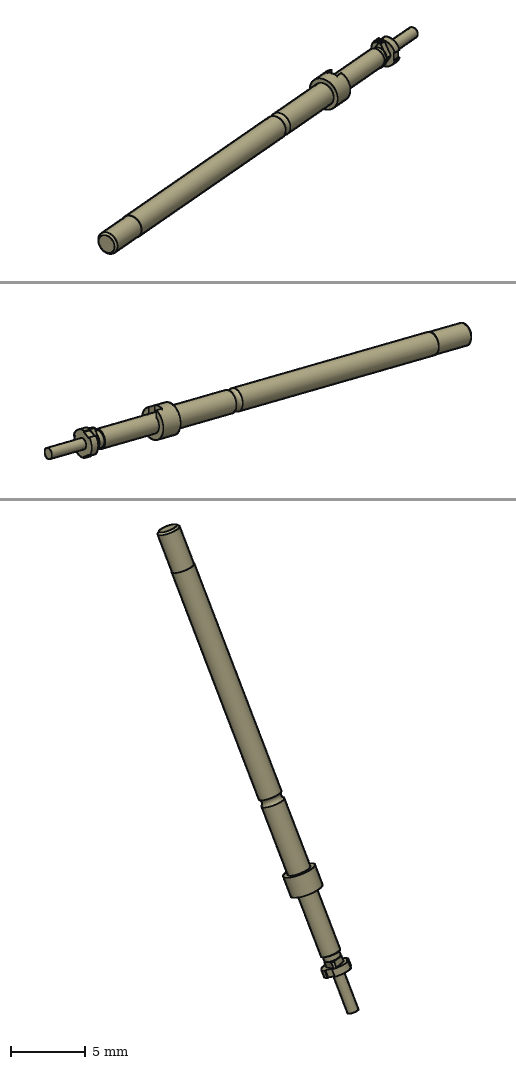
import cadquery as cq


TOTAL_LENGTH = 36.0

COLLAR_RADIUS = 1.15
COLLAR_LENGTH = 1.5
KEYWAY_WIDTH = 0.8
KEYWAY_LENGTH = 0.5

TIP_RADIUS = 0.4
TIP_LENGTH = 2.95

DISC_RADIUS = 1.0
DISC_LENGTH = 0.55
NOTCH_COUNT = 3
NOTCH_WIDTH = 0.6
NOTCH_FLOOR_DISTANCE = 0.85

BLADE_LENGTH = 0.45
BLADE_HALF_HEIGHT = 0.93
BLADE_HALF_WIDTH = 0.62
BLADE_EDGE_HALF_WIDTH = 0.1

NECK_RADIUS = 0.6
NECK_LENGTH = 0.4
SHANK_RADIUS = 0.7
SHANK_LENGTH = 4.65

BARREL_RADIUS = 0.825
TAIL_RADIUS = 0.8
TAIL_LENGTH = 2.95
TAIL_CHAMFER = 0.15
GROOVE_CENTRE = 5.35
GROOVE_WIDTH = 0.54
GROOVE_DEPTH = 0.12

collar_front = COLLAR_LENGTH
shank_front = collar_front + SHANK_LENGTH
neck_front = shank_front + NECK_LENGTH
blade_front = neck_front + BLADE_LENGTH
disc_front = blade_front + DISC_LENGTH
tip_end = disc_front + TIP_LENGTH
tail_end = tip_end - TOTAL_LENGTH
tail_front = tail_end + TAIL_LENGTH


def section_plane(y):
    """Plane across the axis at station y, drawn with local axes -X and Z, normal along +Y."""
    return cq.Plane(origin=(0, y, 0), xDir=(-1, 0, 0), normal=(0, 1, 0))


def cylinder(radius, y_start, y_end):
    return cq.Workplane(section_plane(y_start)).circle(radius).extrude(y_end - y_start)


def make_barrel():
    """Long barrel with a rolled groove and a slightly slimmer, chamfered tail."""
    groove_front = -GROOVE_CENTRE + GROOVE_WIDTH / 2
    groove_back = -GROOVE_CENTRE - GROOVE_WIDTH / 2
    groove_bottom = (BARREL_RADIUS - GROOVE_DEPTH, -GROOVE_CENTRE)
    return (
        cq.Workplane("XY")
        .moveTo(0, 0)
        .lineTo(BARREL_RADIUS, 0)
        .lineTo(BARREL_RADIUS, groove_front)
        .threePointArc(groove_bottom, (BARREL_RADIUS, groove_back))
        .lineTo(BARREL_RADIUS, tail_front)
        .lineTo(TAIL_RADIUS, tail_front)
        .lineTo(TAIL_RADIUS, tail_end + TAIL_CHAMFER)
        .lineTo(TAIL_RADIUS - TAIL_CHAMFER, tail_end)
        .lineTo(0, tail_end)
        .close()
        .revolve(360, (0, 0, 0), (0, 1, 0))
    )


def make_collar():
    """Collar with a keyway in its upper front edge, open down to the shank."""
    keyway = (
        cq.Workplane("XY")
        .box(KEYWAY_WIDTH, KEYWAY_LENGTH, COLLAR_RADIUS, centered=(True, False, False))
        .translate((0, collar_front - KEYWAY_LENGTH, 0))
    )
    return cylinder(COLLAR_RADIUS, 0, collar_front).cut(keyway)


def make_blade():
    """Diamond-shaped section with blunted upper and lower edges."""
    outline = [
        (BLADE_HALF_WIDTH, 0),
        (BLADE_EDGE_HALF_WIDTH, BLADE_HALF_HEIGHT),
        (-BLADE_EDGE_HALF_WIDTH, BLADE_HALF_HEIGHT),
        (-BLADE_HALF_WIDTH, 0),
        (-BLADE_EDGE_HALF_WIDTH, -BLADE_HALF_HEIGHT),
        (BLADE_EDGE_HALF_WIDTH, -BLADE_HALF_HEIGHT),
    ]
    return cq.Workplane(section_plane(neck_front)).polyline(outline).close().extrude(BLADE_LENGTH)


def make_disc():
    """Disc with flat-floored notches spaced evenly round its rim, the first at +X."""
    disc = cylinder(DISC_RADIUS, blade_front, disc_front)
    for index in range(NOTCH_COUNT):
        notch = (
            cq.Workplane("XY")
            .box(DISC_RADIUS, DISC_LENGTH, NOTCH_WIDTH, centered=(False, False, True))
            .translate((NOTCH_FLOOR_DISTANCE, blade_front, 0))
            .rotate((0, 0, 0), (0, 1, 0), index * 360 / NOTCH_COUNT)
        )
        disc = disc.cut(notch)
    return disc


result = (
    make_barrel()
    .union(make_collar())
    .union(cylinder(SHANK_RADIUS, 0, shank_front))
    .union(cylinder(NECK_RADIUS, shank_front, neck_front))
    .union(make_blade())
    .union(make_disc())
    .union(cylinder(TIP_RADIUS, disc_front, tip_end))
)